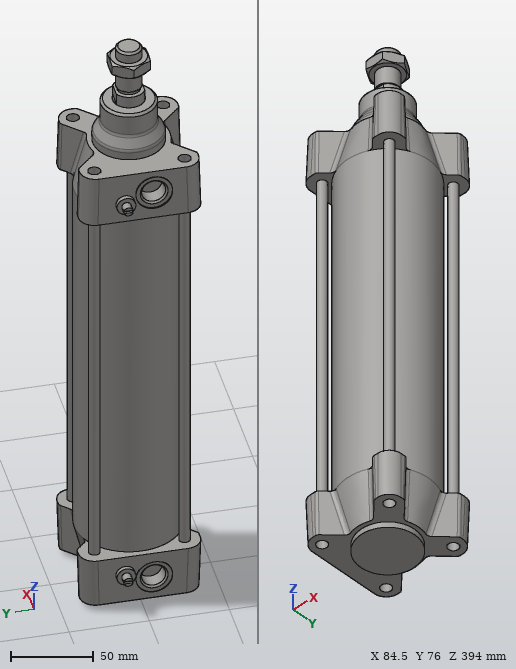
import cadquery as cq
import math

TOTAL_LENGTH = 394.0
TOTAL_WIDTH_X = 84.5
SPIGOT_LENGTH = 4.5
HEAD_HEIGHT = 34.0
HEAD_TOP = 324.5
GLAND_TOP = 354.5
REAR_HEAD_TOP = SPIGOT_LENGTH + HEAD_HEIGHT
FRONT_HEAD_BOTTOM = HEAD_TOP - HEAD_HEIGHT

TUBE_DIAMETER = 68.0
TIE_ROD_DIAMETER = 7.0
TIE_ROD_SPACING = 56.5

HEAD_WIDTH = 76.0
HEAD_DRAFT = 1.5
NOTCH_HALF_WIDTH = 23.5
NOTCH_EDGE_FILLET = 3.0
CONE_TOP_DIAMETER = 51.2
CONE_FILLET = 4.0
SCREW_HOLE_DIAMETER = 8.0
SCREW_HOLE_DEPTH = 15.8

PORT_Y = -7.0
PORT_OFFSET = 15.8
PORT_DIAMETER = 15.0
PORT_MOUTH_DIAMETER = 17.5
PORT_DEPTH = 12.0
PORT_SPOTFACE_DIAMETER = 23.0
PORT_SPOTFACE_DEPTH = 1.0

CUSHION_Y = 11.0
CUSHION_OFFSET = 21.0
CUSHION_EMBEDDED_LENGTH = 2.0
CUSHION_REACH = TOTAL_WIDTH_X - HEAD_WIDTH / 2
CUSHION_COLLAR_REACH = 40.5
CUSHION_COLLAR_DIAMETER = 12.0
CUSHION_STEM_DIAMETER = 6.0
CUSHION_SLOT_WIDTH = 1.5
CUSHION_SLOT_DEPTH = 1.5

GLAND_DIAMETER = 35.0
GLAND_CHAMFER = 1.5
COLLAR_DIAMETER = 45.0
COLLAR_TOP = 331.0
SHOULDER_TOP = 339.0
SHOULDER_FILLET = 4.0

ROD_DIAMETER = 20.0
ROD_BOTTOM = FRONT_HEAD_BOTTOM
ROD_TOP = 362.5
ROD_FLATS = 17.7
FLATS_BOTTOM = 355.5
RELIEF_DIAMETER = 14.5
RELIEF_LENGTH = 2.5
THREAD_DIAMETER = 16.0
THREAD_CHAMFER = 1.38

NUT_SIDES = 6
NUT_FLATS = 24.0
NUT_BOTTOM = 378.0
NUT_HEIGHT = 8.5
NUT_FACE_DIAMETER = 23.0
NUT_CHAMFER_ANGLE = 30.0


def revolve_profile(points):
    """Turn (radius, height) points around the Z axis."""
    return cq.Workplane("XZ").polyline(points).close().revolve(360, (0, 0), (0, 1))


def make_head_block():
    """Tapered block with its wide end on Z = 0, notched on the +X, +Y and -Y sides."""
    side = HEAD_WIDTH / 2
    notch = NOTCH_HALF_WIDTH
    notch_tip = side - notch
    outline = [
        (-side, -side), (-notch, -side), (0, -notch_tip), (notch, -side),
        (side, -side), (side, -notch), (notch_tip, 0), (side, notch),
        (side, side), (notch, side), (0, notch_tip), (-notch, side), (-side, side),
    ]
    block = cq.Workplane("XY").polyline(outline).close().extrude(HEAD_HEIGHT, taper=HEAD_DRAFT)

    def side_edges_near(radius):
        """Edges that run up the block at about this distance from the axis."""
        def is_near(edge):
            center = edge.Center()
            return abs(math.hypot(center.x, center.y) - radius) < NOTCH_EDGE_FILLET
        return block.edges("%LINE").edges("not(#Z)").filter(is_near).vals()

    corners = side_edges_near(math.hypot(side, side))
    block = block.newObject(corners).fillet(side - TIE_ROD_SPACING / 2)
    notch_edges = side_edges_near(math.hypot(side, notch))
    return block.newObject(notch_edges).fillet(NOTCH_EDGE_FILLET)


def bar_along_x(y, z, diameter, x_start, x_end):
    """Round bar along X between two X positions."""
    bar = cq.Workplane("YZ", origin=(x_start, y, z)).circle(diameter / 2)
    return bar.extrude(x_end - x_start)


def cut_port(head):
    """Blind port with a countersunk mouth in a shallow spotface."""
    side = HEAD_WIDTH / 2
    z = HEAD_HEIGHT - PORT_OFFSET
    floor = PORT_SPOTFACE_DEPTH - side
    mouth_depth = (PORT_MOUTH_DIAMETER - PORT_DIAMETER) / 2
    bore = bar_along_x(PORT_Y, z, PORT_DIAMETER, -side, PORT_DEPTH - side)
    spotface = bar_along_x(PORT_Y, z, PORT_SPOTFACE_DIAMETER, -side, floor)
    countersink = cq.Workplane(cq.Solid.makeCone(
        PORT_MOUTH_DIAMETER / 2,
        PORT_DIAMETER / 2,
        mouth_depth,
        cq.Vector(floor, PORT_Y, z),
        cq.Vector(1, 0, 0),
    ))
    return head.cut(bore).cut(spotface).cut(countersink)


def add_cushion_screw(head):
    """Collar and slotted stem that stand out of the port side."""
    z = HEAD_HEIGHT - CUSHION_OFFSET
    root = CUSHION_EMBEDDED_LENGTH - HEAD_WIDTH / 2
    collar = bar_along_x(CUSHION_Y, z, CUSHION_COLLAR_DIAMETER, -CUSHION_COLLAR_REACH, root)
    stem = bar_along_x(CUSHION_Y, z, CUSHION_STEM_DIAMETER, -CUSHION_REACH, root)
    slot = (
        cq.Workplane("YZ", origin=(-CUSHION_REACH, CUSHION_Y, z))
        .rect(CUSHION_STEM_DIAMETER, CUSHION_SLOT_WIDTH)
        .extrude(CUSHION_SLOT_DEPTH)
    )
    return head.union(collar).union(stem).cut(slot)


def make_head():
    """Head with its wide, tube-side end on Z = 0 and its outer end on top."""
    cone = revolve_profile([
        (0, 0),
        (TUBE_DIAMETER / 2, 0),
        (CONE_TOP_DIAMETER / 2, HEAD_HEIGHT),
        (0, HEAD_HEIGHT),
    ])
    head = make_head_block().union(cone)
    head = head.edges("%HYPERBOLA").fillet(CONE_FILLET)
    screw_holes = (
        cq.Workplane("XY", origin=(0, 0, HEAD_HEIGHT - SCREW_HOLE_DEPTH))
        .rect(TIE_ROD_SPACING, TIE_ROD_SPACING, forConstruction=True)
        .vertices()
        .circle(SCREW_HOLE_DIAMETER / 2)
        .extrude(SCREW_HOLE_DEPTH)
    )
    return add_cushion_screw(cut_port(head.cut(screw_holes)))


def make_gland():
    """Stepped rod guide with a conical shoulder."""
    collar = COLLAR_DIAMETER / 2
    gland = GLAND_DIAMETER / 2
    shape = revolve_profile([
        (0, HEAD_TOP),
        (collar, HEAD_TOP),
        (collar, COLLAR_TOP),
        (gland, SHOULDER_TOP),
        (gland, GLAND_TOP),
        (0, GLAND_TOP),
    ])
    shoulder_edges = cq.selectors.BoxSelector(
        (-collar, -collar, COLLAR_TOP - SHOULDER_FILLET / 2),
        (collar, collar, SHOULDER_TOP + SHOULDER_FILLET / 2),
    )
    shape = shape.edges("%CIRCLE").edges(shoulder_edges).fillet(SHOULDER_FILLET)
    return shape.faces(">Z").chamfer(GLAND_CHAMFER)


def make_housing():
    """Tube, tie rods, both heads, rear spigot and gland as one solid, bored for the rod."""
    tube_length = FRONT_HEAD_BOTTOM - REAR_HEAD_TOP
    between_heads = cq.Workplane("XY", origin=(0, 0, REAR_HEAD_TOP))
    tube = between_heads.circle(TUBE_DIAMETER / 2).extrude(tube_length)
    tie_rods = (
        between_heads.rect(TIE_ROD_SPACING, TIE_ROD_SPACING, forConstruction=True)
        .vertices()
        .circle(TIE_ROD_DIAMETER / 2)
        .extrude(tube_length)
    )
    spigot = cq.Workplane("XY").circle(COLLAR_DIAMETER / 2).extrude(SPIGOT_LENGTH)
    head = make_head()
    front_head = head.translate((0, 0, FRONT_HEAD_BOTTOM))
    rear_head = head.mirror("XY").translate((0, 0, REAR_HEAD_TOP))
    rod_bore = (
        cq.Workplane("XY", origin=(0, 0, ROD_BOTTOM))
        .circle(ROD_DIAMETER / 2)
        .extrude(GLAND_TOP - ROD_BOTTOM)
    )
    solid = tube.union(tie_rods).union(spigot).union(front_head).union(rear_head)
    return solid.union(make_gland()).cut(rod_bore)


def make_piston_rod():
    """Rod with wrench flats, thread relief and thread."""
    body = (
        cq.Workplane("XY", origin=(0, 0, ROD_BOTTOM))
        .circle(ROD_DIAMETER / 2)
        .extrude(ROD_TOP - ROD_BOTTOM)
    )
    flats_height = ROD_TOP - FLATS_BOTTOM
    flats = (
        cq.Workplane("XY", origin=(0, 0, FLATS_BOTTOM))
        .rect(ROD_DIAMETER, ROD_DIAMETER)
        .rect(ROD_DIAMETER, ROD_FLATS)
        .extrude(flats_height)
    )
    thread_bottom = ROD_TOP + RELIEF_LENGTH
    relief = cq.Workplane("XY", origin=(0, 0, ROD_TOP)).circle(RELIEF_DIAMETER / 2).extrude(RELIEF_LENGTH)
    thread = (
        cq.Workplane("XY", origin=(0, 0, thread_bottom))
        .circle(THREAD_DIAMETER / 2)
        .extrude(TOTAL_LENGTH - thread_bottom)
        .faces(">Z").chamfer(THREAD_CHAMFER)
    )
    return body.cut(flats).union(relief).union(thread)


def make_nut():
    """Hexagon nut with corners on the X axis."""
    corner_diameter = NUT_FLATS / math.cos(math.pi / NUT_SIDES)
    blank = (
        cq.Workplane("XY", origin=(0, 0, NUT_BOTTOM))
        .polygon(NUT_SIDES, corner_diameter)
        .extrude(NUT_HEIGHT)
    )
    drop = (corner_diameter - NUT_FACE_DIAMETER) / 2 * math.tan(math.radians(NUT_CHAMFER_ANGLE))
    nut_top = NUT_BOTTOM + NUT_HEIGHT
    bevel = revolve_profile([
        (0, NUT_BOTTOM),
        (NUT_FACE_DIAMETER / 2, NUT_BOTTOM),
        (corner_diameter / 2, NUT_BOTTOM + drop),
        (corner_diameter / 2, nut_top - drop),
        (NUT_FACE_DIAMETER / 2, nut_top),
        (0, nut_top),
    ])
    hole = cq.Workplane("XY", origin=(0, 0, NUT_BOTTOM)).circle(THREAD_DIAMETER / 2).extrude(NUT_HEIGHT)
    return blank.intersect(bevel).cut(hole)


housing = make_housing()
piston_rod = make_piston_rod()
nut = make_nut()
result = cq.Compound.makeCompound([housing.val(), piston_rod.val(), nut.val()])